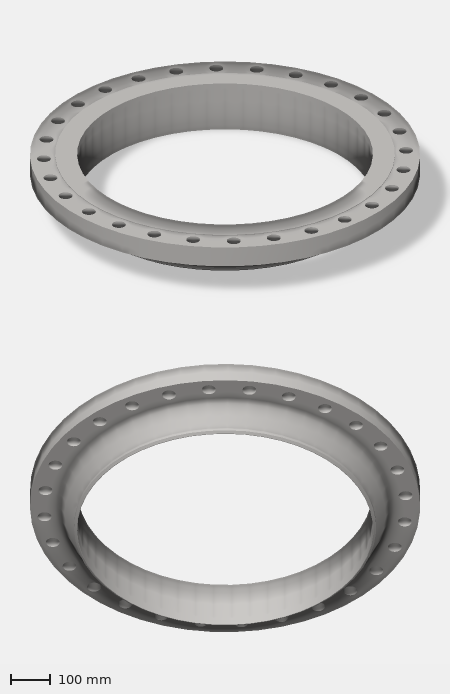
import cadquery as cq
import math

flange_diameter = 984.25
overall_height = 131.76

raised_face_diameter = 857.25
raised_face_height = 1.5875
flange_thickness = 53.975

bolt_circle_diameter = 914.4
bolt_hole_diameter = 34.925
bolt_hole_count = 28

pipe_diameter = 762.0
wall_thickness = 7.9375
hub_base_diameter = 831.85
hub_fillet_radius = 12.7
weld_neck_length = 12.7

bevel_land = 1.5875
bevel_angle = 37.5

bore_radius = pipe_diameter / 2 - wall_thickness
bevel_height = (wall_thickness - bevel_land) * math.tan(math.radians(bevel_angle))
flange_top = overall_height - raised_face_height
flange_bottom = flange_top - flange_thickness


def make_body():
    """Revolve the half section, given as (radius, z) points, about the Z axis."""
    section = [
        (bore_radius, 0),
        (bore_radius + bevel_land, 0),
        (pipe_diameter / 2, bevel_height),
        (pipe_diameter / 2, weld_neck_length),
        (hub_base_diameter / 2, flange_bottom),
        (flange_diameter / 2, flange_bottom),
        (flange_diameter / 2, flange_top),
        (raised_face_diameter / 2, flange_top),
        (raised_face_diameter / 2, overall_height),
        (bore_radius, overall_height),
    ]
    return cq.Workplane("XZ").polyline(section).close().revolve(360, (0, 0, 0), (0, 1, 0))


def round_hub_base(body):
    """Fillet the inside corner where the tapered hub meets the flange underside."""
    reach = hub_base_diameter / 2 + hub_fillet_radius
    margin = hub_fillet_radius / 2
    corner_zone = cq.selectors.BoxSelector(
        (-reach, -reach, flange_bottom - margin),
        (reach, reach, flange_bottom + margin),
        boundingbox=True,
    )
    return body.edges(corner_zone).fillet(hub_fillet_radius)


def make_bolt_holes():
    """One through cutter per bolt, the first on the +X axis."""
    return (
        cq.Workplane("XY")
        .polarArray(bolt_circle_diameter / 2, 0, 360, bolt_hole_count, rotate=False)
        .circle(bolt_hole_diameter / 2)
        .extrude(overall_height)
    )


result = round_hub_base(make_body()).cut(make_bolt_holes())